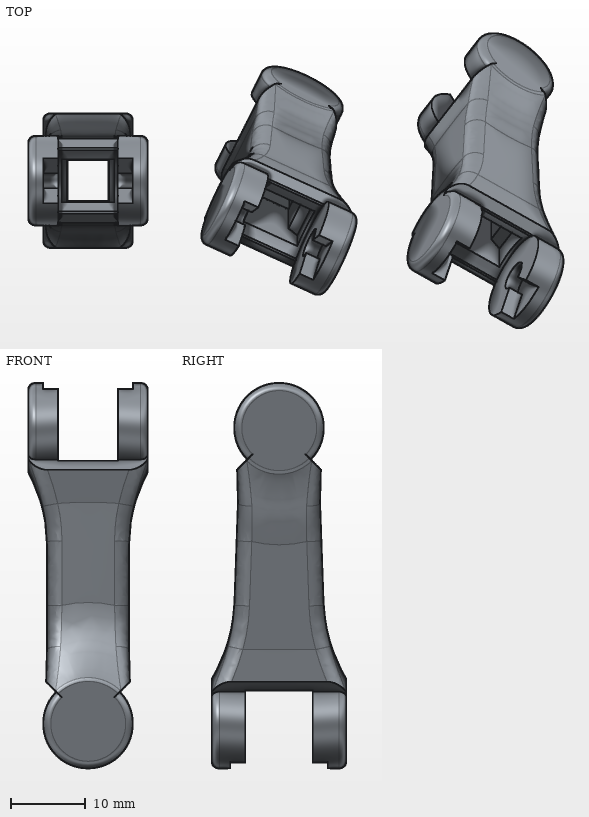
import cadquery as cq
import math

length = 51.5
lug_radius = 6.0
lug_fillet = 1.0
pivot_height = length / 2 - lug_radius
upper_fork_width = 16.0
upper_fork_gap = 8.0
lower_fork_width = 18.0
lower_fork_gap = 9.0

socket_depth = 2.0
socket_radius = 2.0
socket_entry_angle = 60.0

waist_half_width = 5.5
waist_height = 9.83
lower_flare_taper = math.tan(math.radians(2.0))
end_taper = math.tan(math.radians(1.5))
flare_start_radius = 5.95
flare_edge_fillet = 1.0
upper_flare_reach = 15.6
lower_flare_reach = 16.2
body_edge_fillet = 2.0
roof_angle = 45.0
body_half_height = pivot_height - (lug_radius - lug_fillet) * math.sin(math.radians(roof_angle))
ridge_drop = 4.4

passage_margin = 0.5
upper_throat_width = 5.7
lower_throat_width = 5.4
mouth_reach = 10.0

waist_distance = pivot_height + waist_height
far_distance = 2 * pivot_height
oversize = 2 * lower_fork_width
edge_tolerance = 0.001
corner_allowance = 0.1


def flared_slab(fork_width, flare_reach, slope):
    """Two side faces of the body: flared round the lug axis, tapered again at the far end."""
    half_width = fork_width / 2

    def half_width_at(distance):
        return waist_half_width + slope * (waist_distance - distance)

    half = (
        cq.Workplane("XZ")
        .moveTo(0, -far_distance)
        .lineTo(half_width_at(far_distance), -far_distance)
        .lineTo(half_width_at(flare_reach), -flare_reach)
        .tangentArcPoint((half_width, -flare_start_radius), relative=False)
        .lineTo(half_width, 0)
        .lineTo(0, 0)
        .close()
        .revolve(360, (0, 0, 0), (1, 0, 0))
    )
    flared = half.union(half.mirror("YZ"))

    top_half_width = waist_half_width - end_taper * waist_distance
    far_half_width = waist_half_width + end_taper * (far_distance - waist_distance)
    far_taper = (
        cq.Workplane("XZ")
        .polyline(
            [
                (-top_half_width, 0),
                (top_half_width, 0),
                (far_half_width, -far_distance),
                (-far_half_width, -far_distance),
            ]
        )
        .close()
        .extrude(oversize / 2, both=True)
    )
    return flared.union(far_taper)


def swing_clearance(gap):
    """Room for the mating lugs: a roof shape on the body and a round trough in the gap."""
    roof_drop = oversize * math.tan(math.radians(roof_angle))
    roof = (
        cq.Workplane("YZ")
        .polyline(
            [
                (0, 0),
                (-oversize, -roof_drop),
                (-oversize, oversize),
                (oversize, oversize),
                (oversize, -roof_drop),
            ]
        )
        .close()
        .extrude(oversize / 2, both=True)
    )
    trough = cq.Workplane("YZ").circle(lug_radius).extrude(gap / 2, both=True)
    ridge_cut = cq.Workplane("XY").box(gap, oversize, 2 * ridge_drop)
    return roof.union(trough).union(ridge_cut)


def lug_pair(fork_width, gap):
    """Both lug discs, rounded outside and with a keyed socket inside."""
    inner = gap / 2
    disc = (
        cq.Workplane("YZ", origin=(inner, 0, 0))
        .circle(lug_radius)
        .extrude(fork_width / 2 - inner)
        .faces(">X")
        .edges()
        .fillet(lug_fillet)
    )
    entry_height = 2 * lug_radius
    entry_half_width = entry_height * math.tan(math.radians(socket_entry_angle / 2))
    entry = (
        cq.Workplane("YZ", origin=(inner, 0, 0))
        .polyline([(0, 0), (entry_half_width, entry_height), (-entry_half_width, entry_height)])
        .close()
        .extrude(socket_depth)
    )
    seat = cq.Workplane("YZ", origin=(inner, 0, 0)).circle(socket_radius).extrude(socket_depth)
    lug = disc.cut(entry).cut(seat)
    return lug.union(lug.mirror("YZ"))


def at_upper_end(shape):
    return shape.translate((0, 0, pivot_height))


def at_lower_end(shape):
    flipped = shape.rotate((0, 0, 0), (1, 0, 0), 180)
    turned = flipped.rotate((0, 0, 0), (0, 0, 1), 90)
    return turned.translate((0, 0, -pivot_height))


class CornerEdges(cq.Selector):
    """The four chains of edges that run along Z at the corners of the body."""

    def filter(self, objects):
        corner_limit = waist_half_width - corner_allowance

        def at_corner(edge):
            box = edge.BoundingBox()
            clear_of_x = min(abs(box.xmin), abs(box.xmax)) > corner_limit
            clear_of_y = min(abs(box.ymin), abs(box.ymax)) > corner_limit
            return clear_of_x and clear_of_y and box.zlen > edge_tolerance

        return [edge for edge in objects if at_corner(edge)]


class FlareStartEdges(cq.Selector):
    """The arcs at the outermost faces of the body where its flares begin."""

    def filter(self, objects):
        def at_flare_start(edge):
            if edge.geomType() != "CIRCLE":
                return False
            return abs(edge.radius() - flare_start_radius) < edge_tolerance

        return [edge for edge in objects if at_flare_start(edge)]


def body():
    x_sides = at_upper_end(flared_slab(upper_fork_width, upper_flare_reach, 0.0))
    y_sides = at_lower_end(flared_slab(lower_fork_width, lower_flare_reach, lower_flare_taper))
    blank = cq.Workplane("XY").box(oversize, oversize, 2 * body_half_height)
    return blank.intersect(x_sides).intersect(y_sides).edges(CornerEdges()).fillet(body_edge_fillet)


def passage_half(gap, throat_width):
    """One half of the passage: wide between the lugs, narrowing to a square throat."""
    mouth_half_width = gap / 2 - passage_margin
    throat_half_width = throat_width / 2
    slope_end = mouth_reach + mouth_half_width - throat_half_width
    return (
        cq.Workplane("XZ")
        .polyline(
            [
                (-mouth_half_width, 0),
                (mouth_half_width, 0),
                (mouth_half_width, -mouth_reach),
                (throat_half_width, -slope_end),
                (throat_half_width, -pivot_height),
                (-throat_half_width, -pivot_height),
                (-throat_half_width, -slope_end),
                (-mouth_half_width, -mouth_reach),
            ]
        )
        .close()
        .extrude(throat_half_width, both=True)
    )


def passage():
    upper_half = at_upper_end(passage_half(upper_fork_gap, upper_throat_width))
    lower_half = at_lower_end(passage_half(lower_fork_gap, lower_throat_width))
    return upper_half.union(lower_half)


upper_clearance = at_upper_end(swing_clearance(upper_fork_gap))
lower_clearance = at_lower_end(swing_clearance(lower_fork_gap))
upper_lugs = at_upper_end(lug_pair(upper_fork_width, upper_fork_gap))
lower_lugs = at_lower_end(lug_pair(lower_fork_width, lower_fork_gap))

result = (
    body()
    .cut(upper_clearance)
    .cut(lower_clearance)
    .edges(FlareStartEdges())
    .fillet(flare_edge_fillet)
    .cut(passage())
    .union(upper_lugs)
    .union(lower_lugs)
)